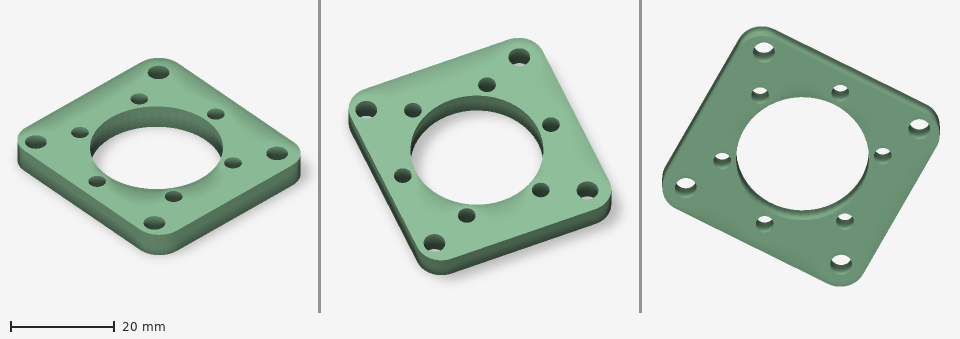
import cadquery as cq

length = 43.2
width = 40.1
thickness = 5.0
corner_radius = 5.0
plate_offset_y = 0.65

bore_diameter = 25.6
ring_hole_count = 6
ring_hole_diameter = 3.4
ring_radius = 15.45
ring_start_angle = 90.0

mount_hole_diameter = 4.2
mount_spacing_x = 33.9
mount_spacing_y = 31.95

plate = (
    cq.Workplane("XY")
    .center(0, plate_offset_y)
    .rect(length, width)
    .extrude(thickness)
    .edges("|Z")
    .fillet(corner_radius)
)

bore = cq.Workplane("XY").circle(bore_diameter / 2).extrude(thickness)

ring_holes = (
    cq.Workplane("XY")
    .polarArray(ring_radius, ring_start_angle, 360, ring_hole_count)
    .circle(ring_hole_diameter / 2)
    .extrude(thickness)
)

mount_holes = (
    cq.Workplane("XY")
    .rect(mount_spacing_x, mount_spacing_y, forConstruction=True)
    .vertices()
    .circle(mount_hole_diameter / 2)
    .extrude(thickness)
)

result = plate.cut(bore).cut(ring_holes).cut(mount_holes)